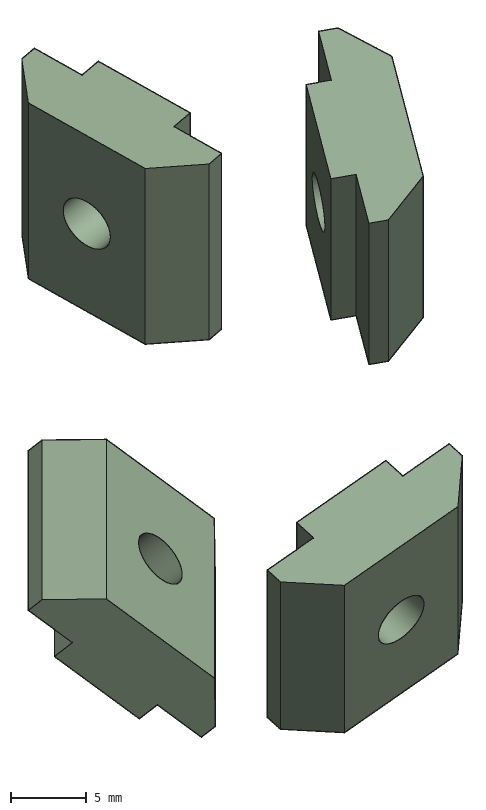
import cadquery as cq

width = 15.9
depth = 6.0
length = 16.0

tongue_width = 7.8
tongue_height = 1.7
chamfer = 3.0
hole_diameter = 4.0

front_y = -depth / 2
back_y = depth / 2
shoulder_y = back_y - tongue_height
half_width = width / 2
half_tongue = tongue_width / 2
half_face = half_width - chamfer

right_outline = [
    (half_face, front_y),
    (half_width, front_y + chamfer),
    (half_width, shoulder_y),
    (half_tongue, shoulder_y),
    (half_tongue, back_y),
]
left_outline = [(-x, y) for x, y in reversed(right_outline)]
body = (
    cq.Workplane("XY")
    .polyline(right_outline + left_outline)
    .close()
    .extrude(length / 2, both=True)
)

bore = cq.Workplane("XZ").circle(hole_diameter / 2).extrude(depth, both=True)

result = body.cut(bore)